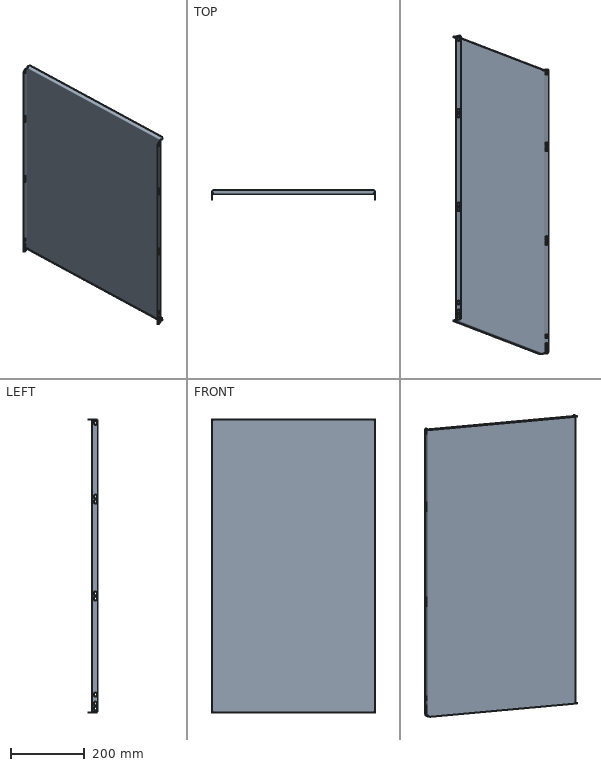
import cadquery as cq
import math

height = 798.0
width = 444.0
depth = 27.0
sheet = 1.2
bend_radius = 1.5
end_reach = 12.0
corner_gap = 2.0
notch_length = 2.0
corner_cut = 4.0

slot_width = 6.0
slot_length = 11.0
slot_setback = 7.0
slot_drops = (9.5, 211.0, 224.0, 474.0, 487.5, 749.0, 774.0, 787.0)

front_edge = -depth / 2
rear_edge = depth / 2
web_front = rear_edge - end_reach
web_rear = web_front + sheet
side_reach = web_rear - front_edge


def web():
    """Flat panel between the four bends."""
    return (
        cq.Workplane("XY")
        .box(width - 2 * bend_radius, sheet, height - 2 * bend_radius)
        .translate((0, web_front + sheet / 2, 0))
    )


def bent_flange(length, reach):
    """Bend and flange along X: outer web face at Y = 0, outer flange face at Z = 0, flange toward +Y."""
    halfway = math.cos(math.radians(45))
    outer_mid = bend_radius * (1 - halfway)
    inner_mid = bend_radius - (bend_radius - sheet) * halfway
    strip = (
        cq.Workplane("YZ", origin=(-length / 2, 0, 0))
        .moveTo(bend_radius, 0)
        .lineTo(reach, 0)
        .lineTo(reach, -sheet)
        .lineTo(bend_radius, -sheet)
        .threePointArc((inner_mid, -inner_mid), (sheet, -bend_radius))
        .lineTo(0, -bend_radius)
        .threePointArc((outer_mid, -outer_mid), (bend_radius, 0))
        .close()
        .extrude(length)
    )
    end = length / 2
    neck = end - corner_gap
    notch = bend_radius + notch_length
    half = [(neck, 0), (neck, notch), (end, notch), (end, reach - corner_cut), (end - corner_cut, reach)]
    outline = half + [(-x, y) for x, y in reversed(half)]
    blank = cq.Workplane("XY", origin=(0, 0, -bend_radius)).polyline(outline).close().extrude(bend_radius)
    return strip.intersect(blank)


def top_flange():
    """Flange along the top edge, pointing rearward."""
    return bent_flange(width, end_reach).translate((0, web_front, height / 2))


def right_flange():
    """Flange along the +X edge, pointing forward."""
    return (
        bent_flange(height, side_reach)
        .rotate((0, 0, 0), (0, 0, 1), 180)
        .rotate((0, 0, 0), (0, 1, 0), 90)
        .translate((width / 2, web_rear, 0))
    )


def mounting_slots():
    """Cutters running through both side flanges."""
    centres = [(front_edge + slot_setback, height / 2 - drop) for drop in slot_drops]
    return (
        cq.Workplane("YZ", origin=(-width / 2, 0, 0))
        .pushPoints(centres)
        .slot2D(slot_length, slot_width, 90)
        .extrude(width)
    )


result = web()
for flange, mirror_plane in ((top_flange(), "XY"), (right_flange(), "YZ")):
    result = result.union(flange).union(flange.mirror(mirror_plane))
result = result.cut(mounting_slots())